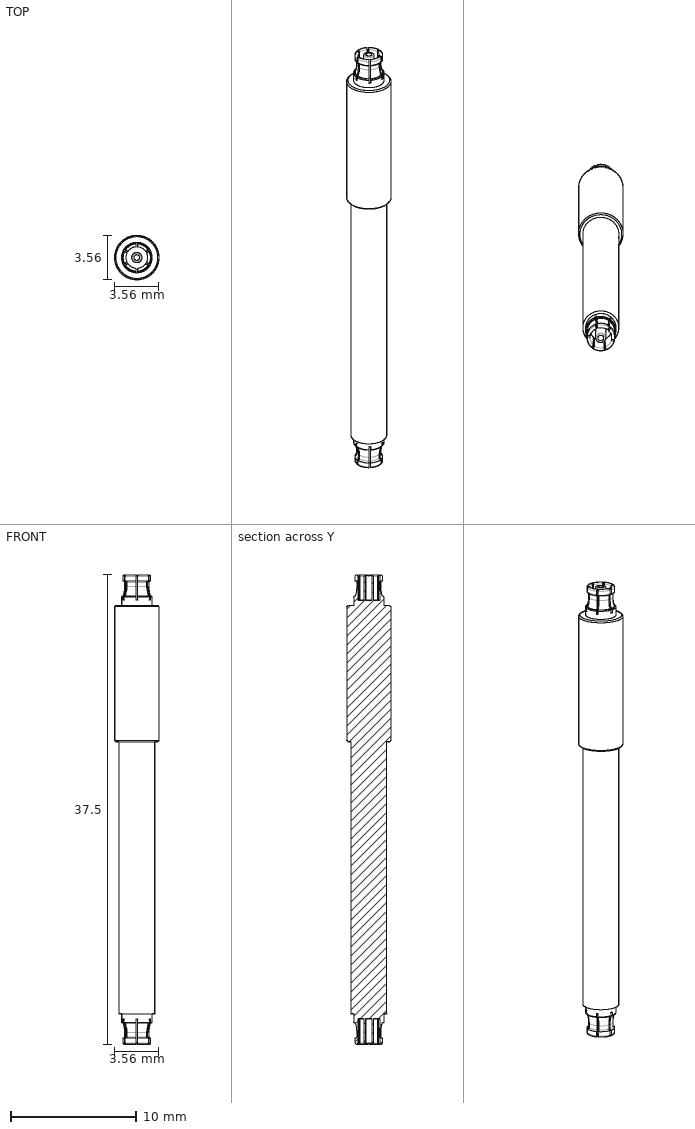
import cadquery as cq

total_length = 37.45
end_z = total_length / 2
connector_length = 2.45
barrel_radius = 1.442
sleeve_length = 10.9
sleeve_radius = 1.78
sleeve_chamfer = 0.1

collar_radius = 1.217
collar_depth = 1.7
collar_chamfer = 0.07
lip_radius = 1.105
lip_length = 0.5
lip_root_fillet = 0.1
neck_radius = 0.97
neck_end_depth = 0.95
flare_radius = 1.1

bore_radius = 0.85
bore_depth = 2.02
contact_radius = 0.4
contact_recess = 0.07
contact_fillet = 0.07
contact_hole_radius = 0.22

finger_count = 6
finger_slot_width = 0.125
finger_slot_depth = 2.02


def cylinder(radius, bottom, top):
    return cq.Workplane("XY").workplane(offset=bottom).circle(radius).extrude(top - bottom)


def connector_shell():
    """Revolved wall of the connector at the +Z end, open towards +Z."""
    shoulder_z = end_z - connector_length
    collar_z = end_z - collar_depth
    neck_end_z = end_z - neck_end_depth
    lip_z = end_z - lip_length
    floor_z = end_z - bore_depth

    rim_radius = (lip_radius - bore_radius) / 2
    rim_z = end_z - rim_radius

    flare_rise = flare_radius - neck_radius
    flare_run = collar_depth - neck_end_depth
    flare_arc_radius = (flare_rise**2 + flare_run**2) / (2 * flare_rise)

    return (
        cq.Workplane("XZ")
        .moveTo(0, shoulder_z)
        .lineTo(collar_radius, shoulder_z)
        .lineTo(collar_radius, collar_z - collar_chamfer)
        .lineTo(collar_radius - collar_chamfer, collar_z)
        .lineTo(flare_radius, collar_z)
        .radiusArc((neck_radius, neck_end_z), flare_arc_radius)
        .lineTo(neck_radius, lip_z - lip_root_fillet)
        .radiusArc((neck_radius + lip_root_fillet, lip_z), lip_root_fillet)
        .lineTo(lip_radius, lip_z)
        .lineTo(lip_radius, rim_z)
        .threePointArc((lip_radius - rim_radius, end_z), (bore_radius, rim_z))
        .lineTo(bore_radius, floor_z)
        .lineTo(0, floor_z)
        .close()
        .revolve(360, (0, 0), (0, 1))
    )


def finger_slots():
    """Flat blades through the Z axis, the first one lying along Y."""
    blade = (
        cq.Workplane("XY")
        .workplane(offset=end_z - finger_slot_depth)
        .rect(finger_slot_width, 2 * sleeve_radius)
        .extrude(finger_slot_depth)
    )
    blades = blade
    for index in range(1, finger_count // 2):
        blades = blades.union(blade.rotate((0, 0, 0), (0, 0, 1), index * 360 / finger_count))
    return blades


def contact():
    """Centre contact: a tube with a rounded tip, standing on the bore floor."""
    floor_z = end_z - bore_depth
    tip_z = end_z - contact_recess
    tube = cylinder(contact_radius, floor_z, tip_z)
    tube = tube.faces(">Z").edges().fillet(contact_fillet)
    return tube.cut(cylinder(contact_hole_radius, floor_z, tip_z))


barrel_top = end_z - connector_length
barrel = cylinder(barrel_radius, -barrel_top, barrel_top)
sleeve = cylinder(sleeve_radius, barrel_top - sleeve_length, barrel_top)
sleeve = sleeve.faces("|Z").edges().chamfer(sleeve_chamfer)

top_connector = connector_shell().cut(finger_slots()).union(contact())
bottom_connector = top_connector.mirror("XY")

result = barrel.union(sleeve).union(top_connector).union(bottom_connector)